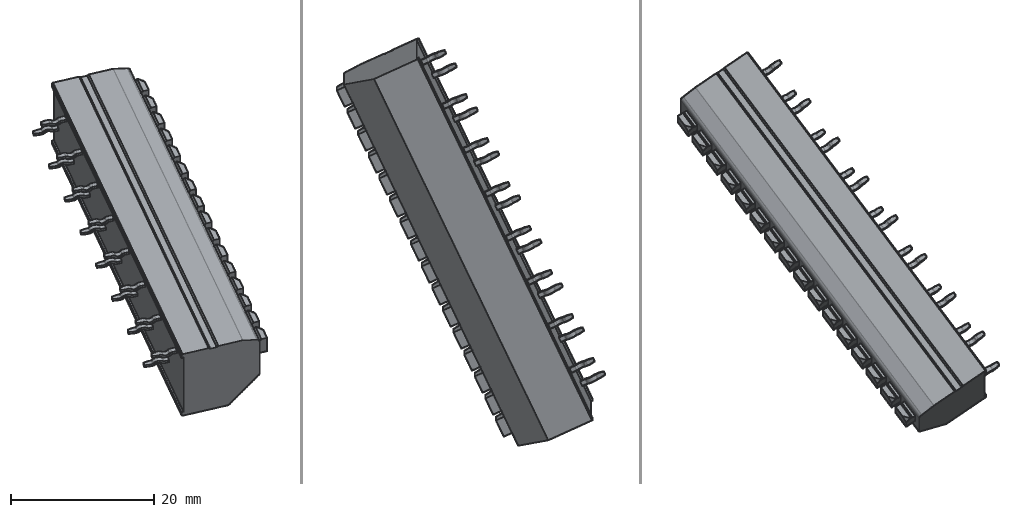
import math

import cadquery as cq


pole_count = 16
pitch = 3.5

housing_length = 57.5
housing_depth = 11.55
housing_height = 12.0
back_chamfer_y = 4.65
back_chamfer_z = 4.7
top_slope_run = 2.54
top_slope_drop = 0.65
top_back_radius = 0.6

rim_height = 0.75
rim_depth = 0.3
rim_chamfer = 0.16

groove_centre_y = 4.72
groove_mouth_width = 1.45
groove_floor_width = 0.95
groove_depth = 0.17

button_width = 2.6
button_first_x = 2.25
button_reach = 1.55
button_bottom_z = 7.3
button_top_z = 9.6
button_lip_length = 0.85
button_lip_ramp = 0.27
button_lip_height = 0.3
button_corner_cut_x = 0.95
button_corner_cut_y = 0.75
button_corner_cut_z = 0.6

pin_first_x = 1.75
pin_width = 0.75
pin_thickness = 0.4
pin_length = 3.3
pin_tip_length = 0.7
pin_tip_inset = 0.12
pin_row_z = (4.75, 9.75)
kink_centre_y = -1.3
kink_half_span = 0.84
kink_height = 0.35
kink_shoulder_radius = 0.3

overlap = 0.5


def make_housing():
    """Extruded cross-section with rims, back chamfer, sloped top edge and top groove."""
    groove_front_y = groove_centre_y - groove_mouth_width / 2
    groove_back_y = groove_centre_y + groove_mouth_width / 2
    floor_front_y = groove_centre_y - groove_floor_width / 2
    floor_back_y = groove_centre_y + groove_floor_width / 2
    floor_z = housing_height - groove_depth
    outline = [
        (rim_chamfer, 0),
        (housing_depth - back_chamfer_y, 0),
        (housing_depth, back_chamfer_z),
        (housing_depth, housing_height - top_slope_drop),
        (housing_depth - top_slope_run, housing_height),
        (groove_back_y, housing_height),
        (floor_back_y, floor_z),
        (floor_front_y, floor_z),
        (groove_front_y, housing_height),
        (rim_chamfer, housing_height),
        (0, housing_height - rim_chamfer),
        (0, housing_height - rim_height),
        (rim_depth, housing_height - rim_height),
        (rim_depth, rim_height),
        (0, rim_height),
        (0, rim_chamfer),
    ]
    housing = cq.Workplane("YZ").polyline(outline).close().extrude(housing_length)
    back_top_edge = cq.selectors.NearestToPointSelector(
        (housing_length / 2, housing_depth, housing_height - top_slope_drop)
    )
    return housing.edges(back_top_edge).fillet(top_back_radius)


def make_button(centre_x):
    """Push button with a raised, ramped lip at its outer end and one bevelled corner."""
    left_x = centre_x - button_width / 2
    tip_y = housing_depth + button_reach
    lip_y = tip_y - button_lip_length
    lip_z = button_top_z + button_lip_height
    button = (
        cq.Workplane("YZ", origin=(left_x, 0, 0))
        .moveTo(housing_depth - overlap, button_bottom_z)
        .lineTo(tip_y, button_bottom_z)
        .lineTo(tip_y, lip_z)
        .lineTo(lip_y, lip_z)
        .lineTo(lip_y - button_lip_ramp, button_top_z)
        .lineTo(housing_depth - overlap, button_top_z)
        .close()
        .extrude(button_width)
    )
    return button.cut(make_corner_wedge(left_x, tip_y, lip_z))


def make_corner_wedge(x, y, z):
    """Tetrahedron that bevels the corner of a button at the given point."""
    corner = cq.Vector(x, y, z)
    along_x = cq.Vector(x + button_corner_cut_x, y, z)
    along_y = cq.Vector(x, y - button_corner_cut_y, z)
    along_z = cq.Vector(x, y, z - button_corner_cut_z)
    triangles = [
        (corner, along_x, along_y),
        (corner, along_y, along_z),
        (corner, along_z, along_x),
        (along_x, along_y, along_z),
    ]
    faces = [cq.Face.makeFromWires(cq.Wire.makePolygon(points, close=True)) for points in triangles]
    return cq.Workplane(cq.Solid.makeSolid(cq.Shell.makeShell(faces)))


def trace_pin_side(sketch, centre_z, bend, side, heading):
    """Draw one long side of a pin's kink; heading -1 runs outward to the tip, +1 runs back."""
    half_angle = math.atan(kink_height / kink_half_span)
    bend_angle = 2 * half_angle
    crest_radius = kink_half_span / math.sin(bend_angle) - kink_shoulder_radius
    offset = side * pin_thickness / 2
    shoulder = kink_shoulder_radius - bend * offset
    crest = crest_radius + bend * offset

    def shoulder_point(direction, angle):
        y = kink_centre_y + direction * (kink_half_span - shoulder * math.sin(angle))
        z = centre_z + bend * (kink_shoulder_radius - shoulder * math.cos(angle))
        return (y, z)

    def crest_point(angle):
        y = kink_centre_y + crest * math.sin(angle)
        z = centre_z + bend * (kink_height - crest_radius + crest * math.cos(angle))
        return (y, z)

    return (
        sketch.lineTo(*shoulder_point(-heading, 0))
        .threePointArc(shoulder_point(-heading, half_angle), shoulder_point(-heading, bend_angle))
        .threePointArc(crest_point(0), crest_point(heading * bend_angle))
        .threePointArc(shoulder_point(heading, half_angle), shoulder_point(heading, 0))
    )


def make_pin(centre_x, centre_z, bend):
    """Flat pin with a rounded kink; bend is +1 for a kink upward and -1 for downward."""
    root_y = rim_depth + overlap
    half_thickness = pin_thickness / 2
    sketch = cq.Workplane("YZ", origin=(centre_x, 0, 0)).moveTo(root_y, centre_z + half_thickness)
    sketch = trace_pin_side(sketch, centre_z, bend, 1, -1)
    sketch = sketch.lineTo(-pin_length, centre_z + half_thickness)
    sketch = sketch.lineTo(-pin_length, centre_z - half_thickness)
    sketch = trace_pin_side(sketch, centre_z, bend, -1, 1)
    sketch = sketch.lineTo(root_y, centre_z - half_thickness)
    pin = sketch.close().extrude(pin_width / 2, both=True)
    return taper_pin_tip(pin, centre_x)


def taper_pin_tip(pin, centre_x):
    """Narrow both sides of a pin towards its end."""
    taper_start_y = -pin_length + pin_tip_length
    half_width = pin_width / 2
    for side in (-1, 1):
        edge_x = centre_x + side * half_width
        tip_x = edge_x - side * pin_tip_inset
        wedge = (
            cq.Workplane("XY")
            .polyline([(edge_x, taper_start_y), (edge_x, -pin_length), (tip_x, -pin_length)])
            .close()
            .extrude(housing_height)
        )
        pin = pin.cut(wedge)
    return pin


result = make_housing()
for pole in range(pole_count):
    row = pole % 2
    kink_direction = 1 - 2 * row
    result = result.union(make_pin(pin_first_x + pole * pitch, pin_row_z[row], kink_direction))
    result = result.union(make_button(button_first_x + pole * pitch))